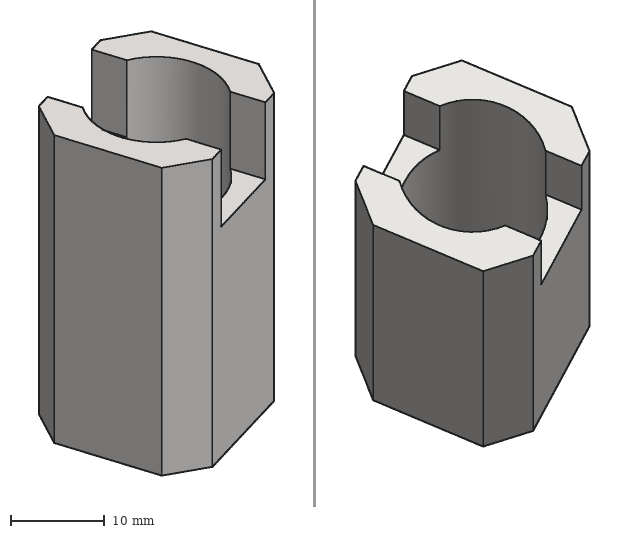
import cadquery as cq

width = 21.0
depth = 22.0
height = 40.0
corner_chamfer = 4.0
bore_diameter = 16.0
slot_width = 10.0
slot_depth = 10.0


def make_body():
    """Octagonal column standing on the XY plane, centred on the Z axis."""
    block = cq.Workplane("XY").box(width, depth, height, centered=(True, True, False))
    return block.edges("|Z").chamfer(corner_chamfer)


def make_bore():
    """Round bore running the full height."""
    return cq.Workplane("XY").circle(bore_diameter / 2).extrude(height)


def make_slot():
    """Square-bottomed slot across the top, running along X through both walls."""
    slot = cq.Workplane("XY").box(width, slot_width, slot_depth, centered=(True, True, False))
    return slot.translate((0, 0, height - slot_depth))


result = make_body().cut(make_bore()).cut(make_slot())